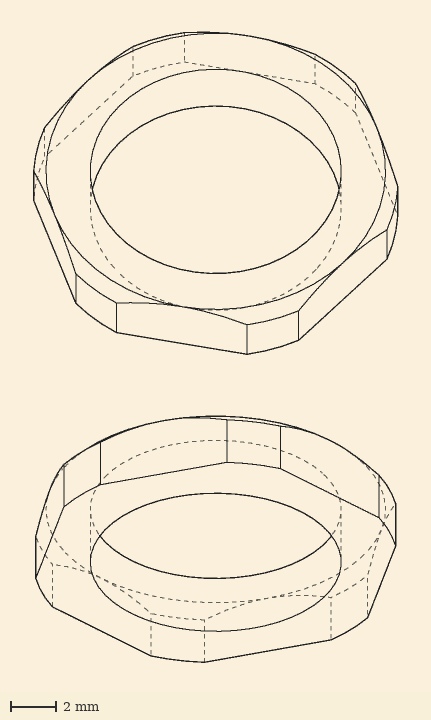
import cadquery as cq
import math

corner_diameter = 16.11
across_flats = 15.0
thickness = 2.8
bore_diameter = 11.08

chamfer = (corner_diameter - across_flats) / 2
hexagon_diameter = across_flats / math.cos(math.radians(30))

blank = (
    cq.Workplane("XY")
    .circle(corner_diameter / 2)
    .extrude(thickness)
    .faces(">Z")
    .chamfer(chamfer)
)

hexagon = cq.Workplane("XY").polygon(6, hexagon_diameter).extrude(thickness)

bore = cq.Workplane("XY").circle(bore_diameter / 2).extrude(thickness)

result = blank.intersect(hexagon).cut(bore)